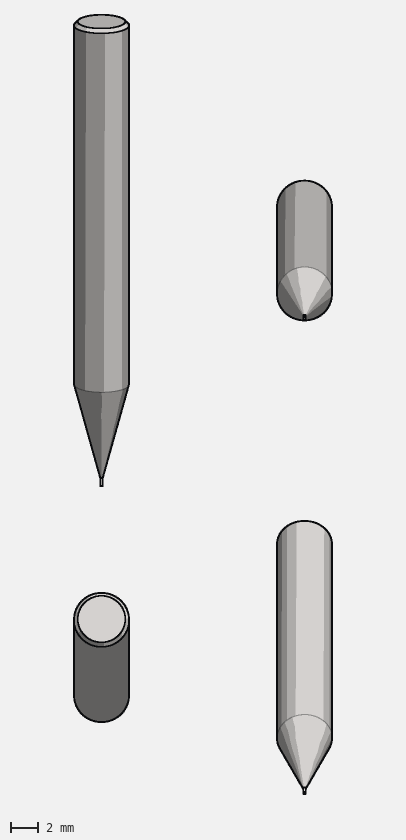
import cadquery as cq
import math

total_length = 35.0
shank_diameter = 4.0
top_chamfer = 0.28

tip_diameter = 0.2
tip_length = 0.63
taper_half_angle = 15.0

shank_radius = shank_diameter / 2
tip_radius = tip_diameter / 2
taper_length = (shank_radius - tip_radius) / math.tan(math.radians(taper_half_angle))
shoulder_height = tip_length + taper_length


def make_shank():
    """Chamfered round shank with a cone narrowing to the tip, revolved about Z."""
    half_profile = (
        cq.Workplane("YZ")
        .moveTo(0, tip_length)
        .lineTo(-tip_radius, tip_length)
        .lineTo(-shank_radius, shoulder_height)
        .lineTo(-shank_radius, total_length - top_chamfer)
        .lineTo(-shank_radius + top_chamfer, total_length)
        .lineTo(0, total_length)
        .close()
    )
    return half_profile.revolve(360, (0, 0), (0, 1))


def make_cutting_tip():
    """Thin cylinder that meets the small end of the cone."""
    return cq.Workplane("XY").circle(tip_radius).extrude(tip_length)


shank = make_shank()
cutting_tip = make_cutting_tip()

result = cq.Compound.makeCompound([shank.val(), cutting_tip.val()])